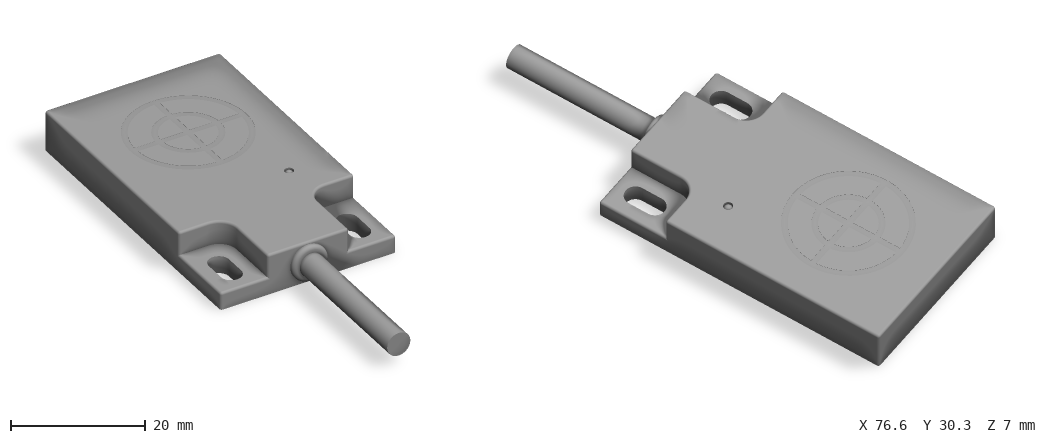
import cadquery as cq

BODY_LENGTH = 50.6
BODY_WIDTH = 30.3
BODY_HEIGHT = 7.0
EDGE_FILLET = 0.4

POCKET_START_X = 38.6
POCKET_INNER_Y = 7.0
POCKET_CORNER_RADIUS = 3.0
LEDGE_HEIGHT = 3.0
SLOT_LENGTH = 7.0
SLOT_WIDTH = 3.5
SLOT_X = 45.1
SLOT_Y = 11.1

MARK_X = 16.1
MARK_DEPTH = 0.05
OUTER_RING_RADIUS = 10.0
LINE_WIDTH = 1.0
INNER_RING_RADIUS = 5.5

LAMP_X = 32.6
LAMP_Y = 7.5
LAMP_RADIUS = 0.75

TOTAL_LENGTH = 76.6
CABLE_DIAMETER = 4.0
CABLE_Z = BODY_HEIGHT / 2
GROMMET_DIAMETER = 6.2
GROMMET_LENGTH = 0.9
GROMMET_FILLET = 0.6

TOLERANCE = 1e-3


def make_pocket(side):
    """Corner cutter above the ledge, running past the body; side is +1 for +Y, -1 for -Y."""
    overrun = 2 * POCKET_CORNER_RADIUS
    length = BODY_LENGTH - POCKET_START_X + overrun
    width = BODY_WIDTH / 2 - POCKET_INNER_Y + overrun
    return (
        cq.Workplane("XY", origin=(0, 0, LEDGE_HEIGHT))
        .center(POCKET_START_X + length / 2, side * (POCKET_INNER_Y + width / 2))
        .rect(length, width)
        .extrude(BODY_HEIGHT - LEDGE_HEIGHT)
        .edges("|Z")
        .fillet(POCKET_CORNER_RADIUS)
    )


def is_on_outer_wall(edge):
    """True for edges on the long sides or the right end of the housing."""
    center = edge.Center()
    on_side = abs(abs(center.y) - BODY_WIDTH / 2) < TOLERANCE
    on_right_end = abs(center.x - BODY_LENGTH) < TOLERANCE
    return on_side or on_right_end


def is_at_ledge_height(edge):
    return abs(edge.Center().z - LEDGE_HEIGHT) < TOLERANCE


def make_housing():
    """Stepped block, rounded on its upright outer corners and its upper rims."""
    block = cq.Workplane("XY").box(BODY_LENGTH, BODY_WIDTH, BODY_HEIGHT, centered=(False, True, False))
    for side in (1, -1):
        block = block.cut(make_pocket(side))
    upright_corners = block.edges("|Z").filter(is_on_outer_wall)
    top_rim = block.faces(">Z").edges()
    ledge_rims = block.edges("not |Z").filter(is_at_ledge_height).filter(is_on_outer_wall)
    return upright_corners.add(top_rim).add(ledge_rims).fillet(EDGE_FILLET)


def make_slots():
    return (
        cq.Workplane("XY")
        .pushPoints([(SLOT_X, SLOT_Y), (SLOT_X, -SLOT_Y)])
        .slot2D(SLOT_LENGTH, SLOT_WIDTH)
        .extrude(BODY_HEIGHT)
    )


def make_mark():
    """Cutter for the target mark: rings plus a cross reaching into the outer ring."""
    floor = cq.Workplane("XY", origin=(MARK_X, 0, BODY_HEIGHT - MARK_DEPTH))
    cross_span = 2 * OUTER_RING_RADIUS - LINE_WIDTH
    mark = floor.rect(cross_span, LINE_WIDTH).extrude(MARK_DEPTH)
    mark = mark.union(floor.rect(LINE_WIDTH, cross_span).extrude(MARK_DEPTH))
    for radius in (OUTER_RING_RADIUS, INNER_RING_RADIUS):
        ring = floor.circle(radius).circle(radius - LINE_WIDTH).extrude(MARK_DEPTH)
        mark = mark.union(ring)
    return mark


def lamp_base():
    """Plane of the well floor, where the lens is widest."""
    return cq.Workplane("XY", origin=(LAMP_X, LAMP_Y, BODY_HEIGHT - LAMP_RADIUS))


def make_lamp_well():
    return lamp_base().circle(LAMP_RADIUS).extrude(LAMP_RADIUS)


def make_lens():
    """Ball whose upper half stands in the well and whose lower half sits in the housing."""
    return lamp_base().sphere(LAMP_RADIUS, direct=(1, 0, 0))


def make_cable():
    end_face = cq.Workplane("YZ", origin=(BODY_LENGTH, 0, CABLE_Z))
    grommet = end_face.circle(GROMMET_DIAMETER / 2).extrude(GROMMET_LENGTH)
    grommet = grommet.faces(">X").edges().fillet(GROMMET_FILLET)
    cable = end_face.circle(CABLE_DIAMETER / 2).extrude(TOTAL_LENGTH - BODY_LENGTH)
    return grommet.union(cable)


result = (
    make_housing()
    .cut(make_slots())
    .cut(make_mark())
    .cut(make_lamp_well())
    .union(make_lens())
    .union(make_cable())
)